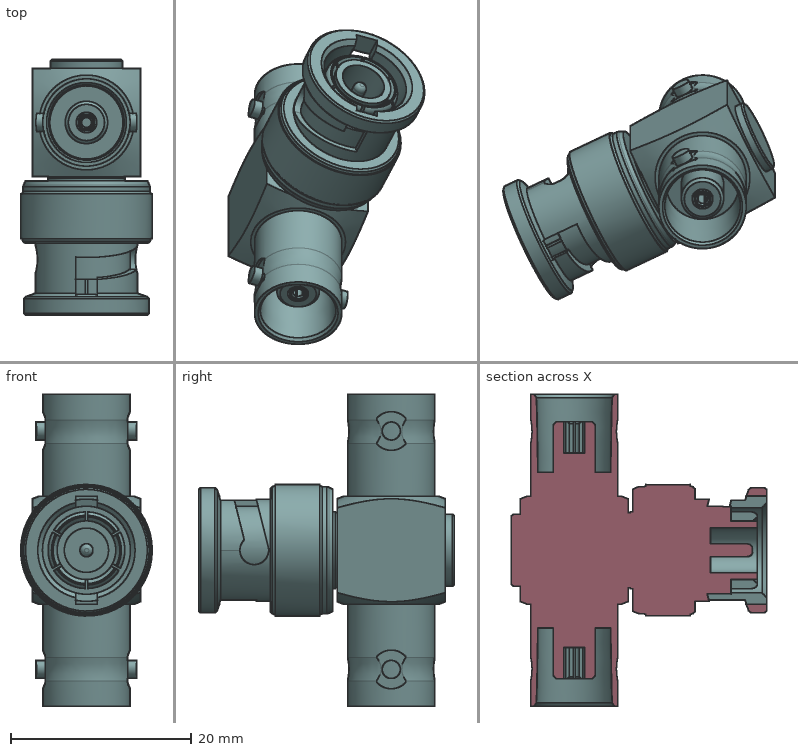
import cadquery as cq
import math


BODY_SIDE = 12.0
BODY_HALF = BODY_SIDE / 2
CROWN_FLAT_RADIUS = 5.25
CROWN_ANGLE = 22.0
REAR_CAP_RADIUS = 4.0
REAR_CAP_END = 7.0
REAR_CAP_CHAMFER = 0.2

SOCKET_END = 17.3
SOCKET_RADIUS = 4.85
WAIST_RADIUS = 4.7
WAIST_TOP = 14.45
WAIST_BOTTOM = 11.87
MOUTH_RADIUS = 4.43
MOUTH_DEPTH = 0.38
TAPER_RADIUS = 4.2
BORE_RADIUS = 4.05
BORE_DEPTH = 8.65
INSULATOR_RADIUS = 2.35
INSULATOR_CHAMFER = 0.35
INSULATOR_DEPTH = 3.05
CONTACT_CLEARANCE_RADIUS = 1.15
CONTACT_RADIUS = 0.95
CONTACT_HOLE_RADIUS = 0.55
CONTACT_CHAMFER = 0.2
CONTACT_LENGTH = 3.45
CONTACT_SLOT_WIDTH = 0.17
CONTACT_SLOT_COUNT = 4

LUG_Z = 13.2
LUG_RADIUS = 1.0
LUG_TIP_RADIUS = 5.6
LUG_FLAT_X = 4.55
LUG_FLAT_RADIUS = 2.15

NECK_RADIUS = 4.3
NECK_RELIEF_RADIUS = 4.2
NECK_RELIEF_END = -6.2
NUT_BACK = -6.47
NUT_BACK_RADIUS = 6.78
NUT_BACK_CHAMFER_END = -6.92
NUT_BACK_CHAMFER_RADIUS = 7.0
NUT_COLLAR_START = -7.13
NUT_COLLAR_END = -7.65
NUT_COLLAR_RADIUS = 7.05
GRIP_BACK = -7.92
GRIP_STEP_RADIUS = 7.15
GRIP_FRONT = -12.87
GRIP_RADIUS = 7.3
NUT_RIM_START = -13.18
NUT_FRONT = -13.4
NUT_FRONT_RADIUS = 6.8
BARREL_RADIUS = 5.67
FLANGE_BACK = -18.93
FLANGE_CONE_END = -19.3
FLANGE_RADIUS = 6.95
FLANGE_CHAMFER = 0.25
FLANGE_FRONT_CHAMFER = 0.2
PLUG_END = -21.35

PLUG_MOUTH_RADIUS = 5.4
PLUG_BORE_RADIUS = 4.88
PLUG_FLOOR = -17.4
FINGER_RADIUS = 4.25
FINGER_TIP_RADIUS = 3.88
FINGER_TIP_INNER_RADIUS = 3.7
FINGER_TAPER = 0.7
FINGER_INNER_BEVEL = 0.52
FINGER_SLOT_WIDTH = 0.3
FINGER_COUNT = 6
SLEEVE_RADIUS = 3.25
SLEEVE_HOLE_RADIUS = 2.45
SLEEVE_HOLE_DEPTH = 5.2
SLEEVE_FRONT = -20.3
PIN_RADIUS = 0.73
PIN_TIP_RADIUS = 0.25
PIN_TIP_LENGTH = 0.6
PIN_FRONT = -19.8

NOTCH_WIDTH = 2.42
NOTCH_HEIGHT = 6.0
RUN_WIDTH = 2.4
RUN_ANGLE = 14.0
LOCK_HOLE_RADIUS = 1.6
LOCK_HOLE_Y = -15.2


def revolve_about_y(points):
    """Solid of revolution from (radius, y) points."""
    return cq.Workplane("XY").polyline(points).close().revolve(360, (0, 0), (0, 1))


def revolve_about_z(points):
    """Solid of revolution from (radius, z) points."""
    return cq.Workplane("XZ").polyline(points).close().revolve(360, (0, 0), (0, 1))


def cylinder_z(radius, bottom, top):
    return cq.Workplane("XY").workplane(offset=bottom).circle(radius).extrude(top - bottom)


def make_body():
    """Square block with coned ends and a round cap on its rear face."""
    corner_radius = BODY_SIDE
    drop = (corner_radius - CROWN_FLAT_RADIUS) * math.tan(math.radians(CROWN_ANGLE))
    envelope = revolve_about_z([
        (0, -BODY_HALF),
        (CROWN_FLAT_RADIUS, -BODY_HALF),
        (corner_radius, -BODY_HALF + drop),
        (corner_radius, BODY_HALF - drop),
        (CROWN_FLAT_RADIUS, BODY_HALF),
        (0, BODY_HALF),
    ])
    block = cq.Workplane("XY").box(BODY_SIDE, BODY_SIDE, BODY_SIDE).intersect(envelope)
    cap = revolve_about_y([
        (0, 0),
        (REAR_CAP_RADIUS, 0),
        (REAR_CAP_RADIUS, REAR_CAP_END - REAR_CAP_CHAMFER),
        (REAR_CAP_RADIUS - REAR_CAP_CHAMFER, REAR_CAP_END),
        (0, REAR_CAP_END),
    ])
    return block.union(cap)


def make_socket_shell():
    """Waisted outer shell with side flats and two bayonet lugs."""
    waist_middle = (WAIST_RADIUS, (WAIST_BOTTOM + WAIST_TOP) / 2)
    shell = (
        cq.Workplane("XZ")
        .lineTo(SOCKET_RADIUS, 0)
        .lineTo(SOCKET_RADIUS, WAIST_BOTTOM)
        .threePointArc(waist_middle, (SOCKET_RADIUS, WAIST_TOP))
        .lineTo(SOCKET_RADIUS, SOCKET_END)
        .lineTo(0, SOCKET_END)
        .close()
        .revolve(360, (0, 0), (0, 1))
    )
    side_plane = cq.Workplane("YZ").center(0, LUG_Z)
    for side in (-1, 1):
        flat = side_plane.workplane(offset=side * LUG_FLAT_X)
        shell = shell.cut(flat.circle(LUG_FLAT_RADIUS).extrude(side * SOCKET_RADIUS))
    lugs = side_plane.circle(LUG_RADIUS).extrude(SOCKET_END, both=True)
    return shell.union(lugs.intersect(cylinder_z(LUG_TIP_RADIUS, 0, SOCKET_END)))


def make_socket_cavity():
    """Tapered bore around the insulator, plus the ring gap around the contact."""
    floor = SOCKET_END - BORE_DEPTH
    face = SOCKET_END - INSULATOR_DEPTH
    contact_bottom = face - CONTACT_LENGTH
    cavity = revolve_about_z([
        (0, face),
        (INSULATOR_RADIUS - INSULATOR_CHAMFER, face),
        (INSULATOR_RADIUS, face - INSULATOR_CHAMFER),
        (INSULATOR_RADIUS, floor),
        (BORE_RADIUS, floor),
        (TAPER_RADIUS, SOCKET_END - MOUTH_DEPTH),
        (MOUTH_RADIUS, SOCKET_END),
        (0, SOCKET_END),
    ])
    contact = revolve_about_z([
        (CONTACT_HOLE_RADIUS, contact_bottom),
        (CONTACT_RADIUS, contact_bottom),
        (CONTACT_RADIUS, face),
        (CONTACT_HOLE_RADIUS + CONTACT_CHAMFER, face),
        (CONTACT_HOLE_RADIUS, face - CONTACT_CHAMFER),
    ])
    for index in range(CONTACT_SLOT_COUNT // 2):
        slot = cq.Workplane("XY").box(2 * CONTACT_RADIUS, CONTACT_SLOT_WIDTH, CONTACT_LENGTH)
        slot = slot.translate((0, 0, face - CONTACT_LENGTH / 2))
        contact = contact.cut(slot.rotate((0, 0, 0), (0, 0, 1), index * 360 / CONTACT_SLOT_COUNT))
    clearance = cylinder_z(CONTACT_CLEARANCE_RADIUS, contact_bottom, face)
    return cavity.union(clearance.cut(contact))


def make_plug_shell():
    """Neck, coupling nut, barrel and front flange, bored from the front."""
    mouth_depth = PLUG_MOUTH_RADIUS - PLUG_BORE_RADIUS
    return revolve_about_y([
        (0, 0),
        (NECK_RELIEF_RADIUS, 0),
        (NECK_RELIEF_RADIUS, NECK_RELIEF_END),
        (NECK_RADIUS, NECK_RELIEF_END),
        (NECK_RADIUS, NUT_BACK),
        (NUT_BACK_RADIUS, NUT_BACK),
        (NUT_BACK_CHAMFER_RADIUS, NUT_BACK_CHAMFER_END),
        (NUT_COLLAR_RADIUS, NUT_COLLAR_START),
        (NUT_COLLAR_RADIUS, NUT_COLLAR_END),
        (GRIP_STEP_RADIUS, GRIP_BACK),
        (GRIP_RADIUS, GRIP_BACK),
        (GRIP_RADIUS, GRIP_FRONT),
        (GRIP_STEP_RADIUS, GRIP_FRONT),
        (NUT_COLLAR_RADIUS, NUT_RIM_START),
        (NUT_FRONT_RADIUS, NUT_FRONT),
        (BARREL_RADIUS, NUT_FRONT),
        (BARREL_RADIUS, FLANGE_BACK),
        (FLANGE_RADIUS - FLANGE_CHAMFER, FLANGE_CONE_END),
        (FLANGE_RADIUS, FLANGE_CONE_END - FLANGE_CHAMFER),
        (FLANGE_RADIUS, PLUG_END + FLANGE_FRONT_CHAMFER),
        (FLANGE_RADIUS - FLANGE_FRONT_CHAMFER, PLUG_END),
        (PLUG_MOUTH_RADIUS, PLUG_END),
        (PLUG_BORE_RADIUS, PLUG_END + mouth_depth),
        (PLUG_BORE_RADIUS, PLUG_FLOOR),
        (0, PLUG_FLOOR),
    ])


def make_bayonet_slot():
    """One slot: an entry notch at +Z, a sloping run and a round lock hole at +X."""
    reach = GRIP_RADIUS
    run_offset = LOCK_HOLE_RADIUS - RUN_WIDTH / 2
    run = (
        cq.Workplane("YZ")
        .workplane(offset=-NOTCH_WIDTH / 2)
        .center(LOCK_HOLE_Y, 0)
        .transformed(rotate=(0, 0, RUN_ANGLE))
        .center(run_offset, reach / 2)
        .rect(RUN_WIDTH, reach)
        .extrude(NOTCH_WIDTH / 2 + reach)
    )
    lock_hole = cq.Workplane("YZ").center(LOCK_HOLE_Y, 0).circle(LOCK_HOLE_RADIUS).extrude(reach)
    notch_back = PLUG_FLOOR + RUN_WIDTH / 2
    notch = cq.Workplane("XY").box(
        NOTCH_WIDTH, notch_back - PLUG_END, NOTCH_HEIGHT, centered=(True, False, False)
    ).translate((0, PLUG_END, 0))
    core = cq.Workplane("XZ").circle(PLUG_BORE_RADIUS).extrude(-PLUG_END)
    return run.union(lock_hole).union(notch).cut(core)


def make_spring_fingers():
    """Ring of slotted fingers rounded in towards their tips."""
    taper_start = (FINGER_RADIUS, SLEEVE_FRONT + FINGER_TAPER)
    tip = (FINGER_TIP_RADIUS, SLEEVE_FRONT)
    ring = (
        cq.Workplane("XY")
        .moveTo(SLEEVE_RADIUS, PLUG_FLOOR)
        .lineTo(FINGER_RADIUS, PLUG_FLOOR)
        .lineTo(*taper_start)
        .tangentArcPoint(tip, relative=False)
        .lineTo(FINGER_TIP_INNER_RADIUS, SLEEVE_FRONT)
        .lineTo(SLEEVE_RADIUS, SLEEVE_FRONT + FINGER_INNER_BEVEL)
        .close()
        .revolve(360, (0, 0), (0, 1))
    )
    length = PLUG_FLOOR - SLEEVE_FRONT
    for index in range(FINGER_COUNT):
        slot = cq.Workplane("XY").box(
            FINGER_SLOT_WIDTH, length, FINGER_RADIUS, centered=(True, False, False)
        ).translate((0, SLEEVE_FRONT, 0))
        ring = ring.cut(slot.rotate((0, 0, 0), (0, 1, 0), index * 360 / FINGER_COUNT))
    return ring


def make_sleeve():
    """Insulating sleeve, standing on the plug floor."""
    return revolve_about_y([
        (0, PLUG_FLOOR),
        (SLEEVE_RADIUS, PLUG_FLOOR),
        (SLEEVE_RADIUS, SLEEVE_FRONT),
        (0, SLEEVE_FRONT),
    ])


def make_sleeve_hole():
    """Round hole in the sleeve with the centre pin left standing in it."""
    hole_floor = SLEEVE_FRONT + SLEEVE_HOLE_DEPTH
    return (
        cq.Workplane("XY")
        .moveTo(0, SLEEVE_FRONT)
        .lineTo(SLEEVE_HOLE_RADIUS, SLEEVE_FRONT)
        .lineTo(SLEEVE_HOLE_RADIUS, hole_floor)
        .lineTo(PIN_RADIUS, hole_floor)
        .lineTo(PIN_RADIUS, PIN_FRONT + PIN_TIP_LENGTH)
        .tangentArcPoint((PIN_TIP_RADIUS, PIN_FRONT), relative=False)
        .lineTo(0, PIN_FRONT)
        .close()
        .revolve(360, (0, 0), (0, 1))
    )


plug = make_plug_shell()
bayonet_slot = make_bayonet_slot()
for turn in (0, 180):
    plug = plug.cut(bayonet_slot.rotate((0, 0, 0), (0, 1, 0), turn))
plug = plug.union(make_sleeve()).union(make_spring_fingers())

socket_shell = make_socket_shell()
socket_cavity = make_socket_cavity()

result = make_body().union(plug)
result = result.union(socket_shell).union(socket_shell.mirror("XY"))
result = result.cut(socket_cavity).cut(socket_cavity.mirror("XY"))
result = result.cut(make_sleeve_hole())